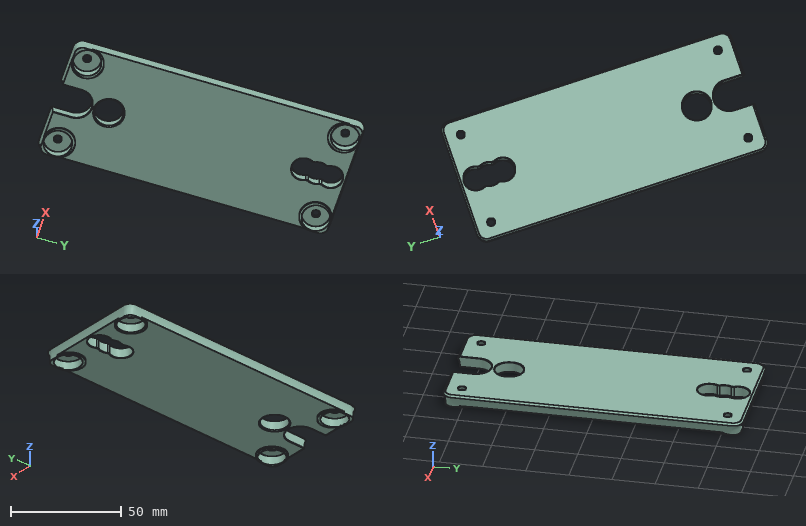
import cadquery as cq
import math

width = 59.0
length = 139.0
height = 6.3
corner_radius = 4.6

top_chamfer = 1.0
lip_height = height - top_chamfer
wall_inset = 1.0
wall_bend_inset = 0.63
wall_bend_height = 3.8
lip_lean = 30.0
cutter_margin = 1.4

recess_depth = 0.8
foot_center_inset = 8.3
foot_radius = foot_center_inset - wall_inset

edge_break = 0.21
flare_angle = 45

screw_hole_diameter = 3.3
screw_hole_inset = 7.9
screw_pocket_diameter = 13.0
screw_web = 1.8

chain_hole_diameter = 11.0
chain_hole_count = 3
chain_pitch = 6.5
chain_end_margin = 7.8
chain_slot_width = 9.6

round_hole_diameter = 13.3
round_hole_underside_break = 0.5
round_hole_y = -length / 2 + 25.3
notch_width = 14.5
notch_depth = 17.1


def make_plate():
    """Rounded rectangular plate with a chamfered top rim."""
    plate = cq.Workplane("XY").box(width, length, height, centered=(True, True, False))
    return plate.edges("|Z").fillet(corner_radius).faces(">Z").chamfer(top_chamfer)


def make_wall_cutter():
    """Ring outside the concave side wall, swept around the plate outline."""
    half_width = width / 2
    wall_x = -half_width + wall_inset
    lean = math.radians(lip_lean)
    wall_points = [(-half_width + wall_bend_inset, wall_bend_height), (wall_x, 0)]
    wall_directions = [(math.sin(lean), -math.cos(lean)), (0, -1)]
    outline = cq.Workplane("XY").rect(width, length).extrude(height).edges("|Z").fillet(corner_radius)
    path = outline.faces("<Z").wires()
    profile = (
        cq.Workplane("XZ")
        .moveTo(-half_width, lip_height)
        .spline(wall_points, tangents=wall_directions, includeCurrent=True)
        .lineTo(wall_x, -cutter_margin)
        .lineTo(-half_width - cutter_margin, -cutter_margin)
        .lineTo(-half_width - cutter_margin, lip_height)
        .close()
    )
    return profile.sweep(path)


def make_recess():
    """Underside recess that leaves a rounded foot in each corner."""
    recess = cq.Workplane("XY").rect(width, length).extrude(recess_depth)
    foot_x = width / 2 - foot_center_inset
    foot_y = length / 2 - foot_center_inset
    for side_x in (-1, 1):
        for side_y in (-1, 1):
            center = (side_x * foot_x, side_y * foot_y)
            disc = cq.Workplane("XY").center(*center).circle(foot_radius).extrude(recess_depth)
            corner = (
                cq.Workplane("XY")
                .moveTo(*center)
                .lineTo(center[0], side_y * length / 2)
                .lineTo(side_x * width / 2, side_y * length / 2)
                .lineTo(side_x * width / 2, center[1])
                .close()
                .extrude(recess_depth)
            )
            recess = recess.cut(disc).cut(corner)
    return recess


def make_cutter(draw_outline, floor, floor_break=edge_break):
    """Straight cutter from the floor up to the top, flared at both ends to break the edges."""
    straight = draw_outline(cq.Workplane("XY")).extrude(height)
    top_flare = draw_outline(cq.Workplane("XY", origin=(0, 0, height - edge_break)))
    top_flare = top_flare.extrude(edge_break, taper=-flare_angle)
    floor_flare = draw_outline(cq.Workplane("XY", origin=(0, 0, floor + floor_break)))
    floor_flare = floor_flare.extrude(-floor_break, taper=-flare_angle)
    return straight.union(top_flare).union(floor_flare)


def make_hole(diameter, x, y, floor, floor_break=edge_break):
    """Cutter for a round through hole at (x, y)."""
    return make_cutter(lambda plane: plane.center(x, y).circle(diameter / 2), floor, floor_break)


def cut_screw_holes(plate):
    """One screw hole through each corner, above a pocket in the foot."""
    pocket_depth = height - screw_web
    for side_x in (-1, 1):
        for side_y in (-1, 1):
            x = side_x * (width / 2 - screw_hole_inset)
            y = side_y * (length / 2 - screw_hole_inset)
            plate = plate.cut(make_hole(screw_hole_diameter, x, y, pocket_depth))
            pocket = cq.Workplane("XY").center(x, y).circle(screw_pocket_diameter / 2)
            plate = plate.cut(pocket.extrude(pocket_depth))
    return plate


def cut_hole_chain(plate):
    """Row of overlapping holes along Y with a slot between the end centers."""
    first_y = length / 2 - chain_end_margin
    span = (chain_hole_count - 1) * chain_pitch
    for index in range(chain_hole_count):
        y = first_y - index * chain_pitch
        plate = plate.cut(make_hole(chain_hole_diameter, 0, y, recess_depth))
    slot_y = first_y - span / 2
    slot = make_cutter(lambda plane: plane.center(0, slot_y).rect(chain_slot_width, span), recess_depth)
    return plate.cut(slot)


def cut_round_hole(plate):
    """Single large round hole with a wider chamfer on the underside."""
    hole = make_hole(round_hole_diameter, 0, round_hole_y, recess_depth, round_hole_underside_break)
    return plate.cut(hole)


def cut_notch(plate):
    """Round-ended notch that is open at the -Y edge."""
    center_y = -length / 2
    slot_length = 2 * notch_depth
    notch = make_cutter(
        lambda plane: plane.center(0, center_y).slot2D(slot_length, notch_width, 90), recess_depth
    )
    return plate.cut(notch)


result = make_plate().cut(make_wall_cutter()).cut(make_recess())
result = cut_screw_holes(result)
result = cut_hole_chain(result)
result = cut_round_hole(result)
result = cut_notch(result)